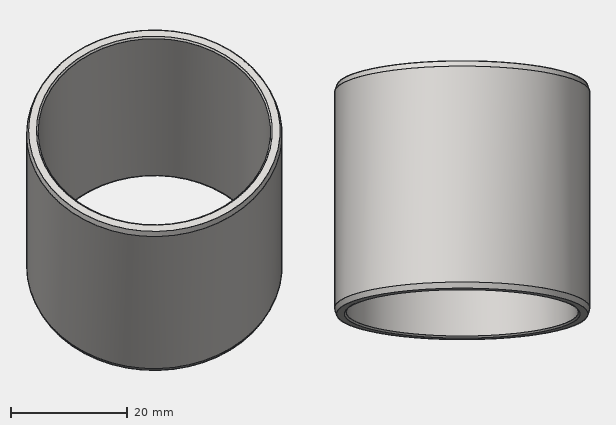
import cadquery as cq

outer_diameter = 44.0
bore_diameter = 40.0
length = 40.0

lead_in_length = 1.0
lead_in_depth = 0.35

bore_chamfer = 0.3

outer_radius = outer_diameter / 2
bore_radius = bore_diameter / 2
half_length = length / 2

wall_section = (
    cq.Workplane("XZ")
    .moveTo(bore_radius, -half_length + bore_chamfer)
    .lineTo(bore_radius + bore_chamfer, -half_length)
    .lineTo(outer_radius - lead_in_depth, -half_length)
    .lineTo(outer_radius, -half_length + lead_in_length)
    .lineTo(outer_radius, half_length - lead_in_length)
    .lineTo(outer_radius - lead_in_depth, half_length)
    .lineTo(bore_radius + bore_chamfer, half_length)
    .lineTo(bore_radius, half_length - bore_chamfer)
    .close()
)

result = wall_section.revolve(360, (0, 0, 0), (0, 1, 0))